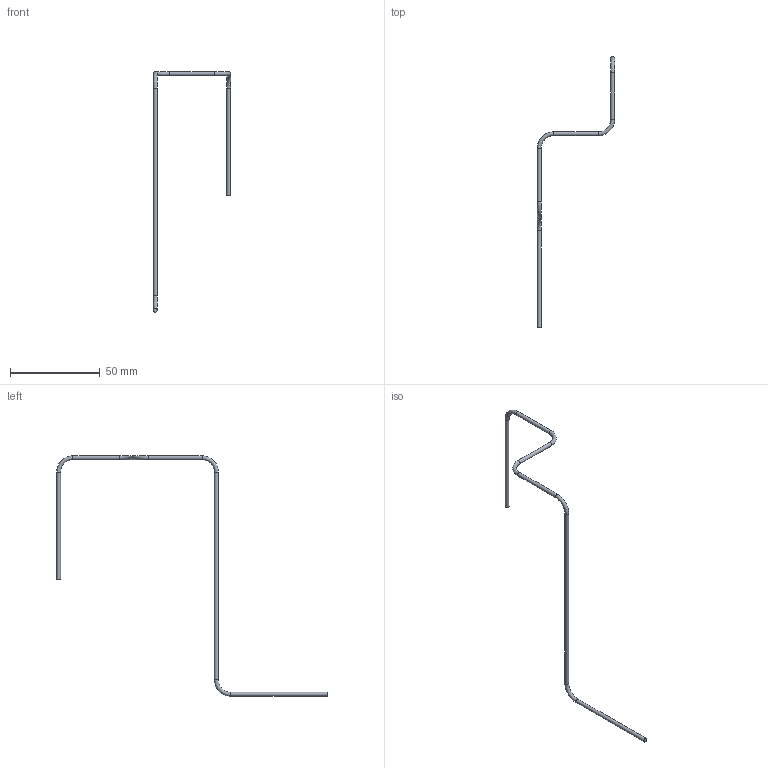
import cadquery as cq

WIRE_DIAMETER = 2.2
BEND_RADIUS = 8.0
FOOT_LENGTH = 62.0
POST_HEIGHT = 132.0
NEAR_ARM_LENGTH = 46.0
JOG_WIDTH = 41.0
FAR_ARM_LENGTH = 42.1
DROP_LENGTH = 67.8

RUNS = [
    cq.Vector(0, FOOT_LENGTH, 0),
    cq.Vector(0, 0, POST_HEIGHT),
    cq.Vector(0, NEAR_ARM_LENGTH, 0),
    cq.Vector(JOG_WIDTH, 0, 0),
    cq.Vector(0, FAR_ARM_LENGTH, 0),
    cq.Vector(0, 0, -DROP_LENGTH),
]


def corner_points(runs):
    """Sharp corners of the centreline, starting at the free end of the foot."""
    corners = [cq.Vector(0, 0, 0)]
    for run in runs:
        corners.append(corners[-1] + run)
    return corners


def bent_centreline(corners, radius):
    """Straight runs joined by tangent arcs at every right-angled corner."""
    edges = []
    start = corners[0]
    for before, corner, after in zip(corners, corners[1:], corners[2:]):
        incoming = (corner - before).normalized()
        outgoing = (after - corner).normalized()
        bend_start = corner - incoming * radius
        bend_end = corner + outgoing * radius
        edges.append(cq.Edge.makeLine(start, bend_start))
        edges.append(cq.Edge.makeTangentArc(bend_start, incoming, bend_end))
        start = bend_end
    edges.append(cq.Edge.makeLine(start, corners[-1]))
    return cq.Wire.assembleEdges(edges)


centreline = bent_centreline(corner_points(RUNS), BEND_RADIUS)
section_plane = cq.Plane(origin=(0, 0, 0), xDir=(0, 0, 1), normal=(0, 1, 0))
section = cq.Workplane(section_plane).circle(WIRE_DIAMETER / 2)
result = section.sweep(cq.Workplane(centreline))